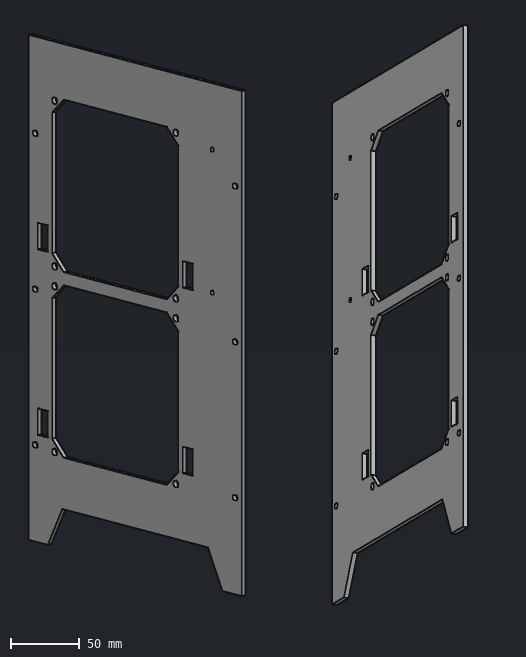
import cadquery as cq

PLATE_WIDTH = 220.0
PLATE_HEIGHT = 381.0
PLATE_THICKNESS = 4.0

FOOT_WIDTH = 20.0
FOOT_ROOT_WIDTH = 35.0
FOOT_HEIGHT = 30.0

FAN_CENTER_X = -20.5
FAN_PITCH = 140.0
FAN_PAIR_CENTER_Z = 13.5
FAN_OPENING = 130.0
FAN_CORNER_CUT = 12.0
FAN_HOLE_SPACING = 125.0
FAN_HOLE_DIAMETER = 5.0

WINDOW_WIDTH = 10.0
WINDOW_HEIGHT = 20.0
WINDOW_SPACING = 149.5
WINDOW_DROP = 43.0

EDGE_SLOT_LENGTH = 5.0
EDGE_SLOT_WIDTH = 4.0
EDGE_SLOT_INSET = 7.0
EDGE_SLOT_PITCH = 117.5

SMALL_HOLE_DIAMETER = 3.2
SMALL_HOLE_X = 79.5
SMALL_HOLE_SPACING = 108.0
SMALL_HOLE_PAIR_CENTER_Z = 86.5

HALF_WIDTH = PLATE_WIDTH / 2
BOTTOM_Z = -PLATE_HEIGHT / 2
FAN_CENTERS = [(FAN_CENTER_X, FAN_PAIR_CENTER_Z + side * FAN_PITCH / 2) for side in (-1, 1)]


def through(sketch):
    """Extrude an XZ sketch through the plate thickness, centred on Y = 0."""
    return sketch.extrude(PLATE_THICKNESS / 2, both=True)


def make_plate():
    notch_top_z = BOTTOM_Z + FOOT_HEIGHT
    foot_inner_x = HALF_WIDTH - FOOT_WIDTH
    notch_corner_x = HALF_WIDTH - FOOT_ROOT_WIDTH
    outline = [
        (-HALF_WIDTH, BOTTOM_Z),
        (-foot_inner_x, BOTTOM_Z),
        (-notch_corner_x, notch_top_z),
        (notch_corner_x, notch_top_z),
        (foot_inner_x, BOTTOM_Z),
        (HALF_WIDTH, BOTTOM_Z),
        (HALF_WIDTH, -BOTTOM_Z),
        (-HALF_WIDTH, -BOTTOM_Z),
    ]
    return through(cq.Workplane("XZ").polyline(outline).close())


def make_holes(centers, diameter):
    return through(cq.Workplane("XZ").pushPoints(centers).circle(diameter / 2))


def make_fan_openings():
    openings = cq.Workplane("XZ").pushPoints(FAN_CENTERS).rect(FAN_OPENING, FAN_OPENING)
    return through(openings).edges("|Y").chamfer(FAN_CORNER_CUT)


def make_fan_holes():
    offset = FAN_HOLE_SPACING / 2
    centers = [(x + i * offset, z + j * offset) for x, z in FAN_CENTERS for i in (-1, 1) for j in (-1, 1)]
    return make_holes(centers, FAN_HOLE_DIAMETER)


def make_windows():
    offset = WINDOW_SPACING / 2
    centers = [(x + side * offset, z - WINDOW_DROP) for x, z in FAN_CENTERS for side in (-1, 1)]
    return through(cq.Workplane("XZ").pushPoints(centers).rect(WINDOW_WIDTH, WINDOW_HEIGHT))


def make_edge_slots():
    x = HALF_WIDTH - EDGE_SLOT_INSET
    centers = [(side * x, row * EDGE_SLOT_PITCH) for side in (-1, 1) for row in (-1, 0, 1)]
    return through(cq.Workplane("XZ").pushPoints(centers).slot2D(EDGE_SLOT_LENGTH, EDGE_SLOT_WIDTH))


def make_small_holes():
    offset = SMALL_HOLE_SPACING / 2
    centers = [(SMALL_HOLE_X, SMALL_HOLE_PAIR_CENTER_Z + side * offset) for side in (-1, 1)]
    return make_holes(centers, SMALL_HOLE_DIAMETER)


result = (
    make_plate()
    .cut(make_fan_openings())
    .cut(make_fan_holes())
    .cut(make_windows())
    .cut(make_edge_slots())
    .cut(make_small_holes())
)